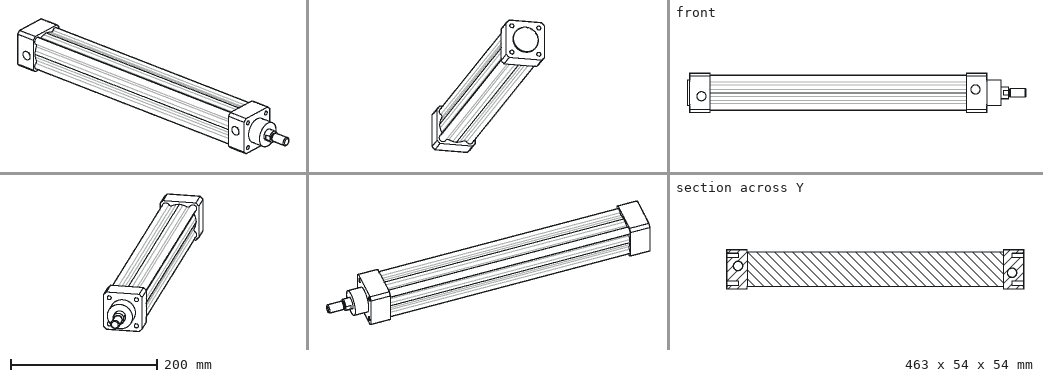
import cadquery as cq
import math


total_length = 463.0
rear_boss_length = 3.0
cap_length = 28.2
tube_length = 350.0
front_boss_length = 19.5
thread_length = 24.0
rear_cap_start = rear_boss_length
tube_start = rear_cap_start + cap_length
front_head_start = tube_start + tube_length
front_head_end = front_head_start + cap_length
front_boss_end = front_head_end + front_boss_length
rod_shoulder = total_length - thread_length

cap_size = 54.0
cap_chamfer = 4.0
boss_diameter = 35.0
screw_spacing = 38.0
screw_hole_diameter = 5.5
screw_hole_depth = 16.0
port_diameter = 12.5
port_depth = 12.0
port_rise = 4.5
rear_port_inset = 16.0
front_port_inset = 12.5
rear_port_x = rear_cap_start + rear_port_inset
front_port_x = front_head_start + front_port_inset

barrel_radius = 23.0
ridge_angle = 12.0
column_radius = 5.0
column_offset = screw_spacing / 2
valley_radius = 3.2

rod_diameter = 16.0
flat_width = 15.0
flat_clearance = 3.0
flat_start = front_boss_end + flat_clearance
thread_diameter = 12.0
neck_diameter = 10.0
neck_length = 1.5
thread_lead_in = 1.5
tip_chamfer = 1.5


def x_cylinder(start, length, diameter):
    """Round bar along X."""
    return cq.Workplane("YZ", origin=(start, 0, 0)).circle(diameter / 2).extrude(length)


def cap_block(start, port_x, port_z):
    """Square block with chamfered long edges and one port in its -Y side."""
    block = cq.Workplane("YZ", origin=(start, 0, 0)).rect(cap_size, cap_size).extrude(cap_length)
    block = block.edges("|X").chamfer(cap_chamfer)
    port = (
        cq.Workplane("XZ", origin=(port_x, -cap_size / 2, port_z))
        .circle(port_diameter / 2)
        .extrude(-port_depth)
    )
    return block.cut(port)


def screw_holes(start):
    """Four blind screw holes that run along +X from the given place."""
    return (
        cq.Workplane("YZ", origin=(start, 0, 0))
        .rect(screw_spacing, screw_spacing, forConstruction=True)
        .vertices()
        .circle(screw_hole_diameter / 2)
        .extrude(screw_hole_depth)
    )


def make_rear_cap():
    block = cap_block(rear_cap_start, rear_port_x, -port_rise)
    boss = x_cylinder(0, rear_boss_length, boss_diameter)
    return block.union(boss).cut(screw_holes(rear_cap_start))


def make_front_head():
    block = cap_block(front_head_start, front_port_x, port_rise)
    boss = x_cylinder(front_head_end, front_boss_length, boss_diameter)
    rod_bore = x_cylinder(front_head_start, front_boss_end - front_head_start, rod_diameter)
    return block.union(boss).cut(screw_holes(front_head_end - screw_hole_depth)).cut(rod_bore)


def polar(radius, degrees, center=(0, 0)):
    """Point at a radius and angle about a center."""
    angle = math.radians(degrees)
    return (center[0] + radius * math.cos(angle), center[1] + radius * math.sin(angle))


def make_tube():
    """Extruded profile: round barrel with a low ridge on each side and a round column at each corner."""
    column_distance = math.hypot(column_offset, column_offset)
    barrel_to_valley = barrel_radius + valley_radius
    column_to_valley = column_radius + valley_radius
    spread = math.degrees(math.acos(
        (barrel_to_valley**2 + column_distance**2 - column_to_valley**2)
        / (2 * barrel_to_valley * column_distance)
    ))
    valley_angle = 45 - spread
    valley_center = polar(barrel_to_valley, valley_angle)
    column_angle = math.degrees(math.atan2(valley_center[1] - column_offset, valley_center[0] - column_offset))
    ridge_radius = barrel_radius / math.cos(math.radians(ridge_angle))

    valley_middle = (valley_angle + column_angle) / 2 + 180

    profile = cq.Workplane("YZ", origin=(tube_start, 0, 0)).moveTo(ridge_radius, 0)
    for turn in (0, 90, 180, 270):
        column_center = polar(column_distance, turn + 45)
        first_valley = polar(barrel_to_valley, turn + valley_angle)
        second_valley = polar(barrel_to_valley, turn + 90 - valley_angle)
        profile = (
            profile.lineTo(*polar(barrel_radius, turn + ridge_angle))
            .threePointArc(
                polar(barrel_radius, turn + (ridge_angle + valley_angle) / 2),
                polar(barrel_radius, turn + valley_angle),
            )
            .threePointArc(
                polar(valley_radius, turn + valley_middle, first_valley),
                polar(column_radius, turn + column_angle, column_center),
            )
            .threePointArc(
                polar(column_radius, turn + 45, column_center),
                polar(column_radius, turn + 90 - column_angle, column_center),
            )
            .threePointArc(
                polar(valley_radius, turn + 90 - valley_middle, second_valley),
                polar(barrel_radius, turn + 90 - valley_angle),
            )
            .threePointArc(
                polar(barrel_radius, turn + 90 - (ridge_angle + valley_angle) / 2),
                polar(barrel_radius, turn + 90 - ridge_angle),
            )
            .lineTo(*polar(ridge_radius, turn + 90))
        )
    return profile.close().extrude(tube_length)


def make_rod():
    """Rod with two wrench flats, a narrow neck and a threaded end of plain cylindrical shape."""
    shank = x_cylinder(front_head_start, rod_shoulder - front_head_start, rod_diameter)
    flat_length = rod_shoulder - flat_start
    between_flats = cq.Workplane("XY").box(flat_length, flat_width, rod_diameter, centered=(False, True, True))
    outside_flats = x_cylinder(flat_start, flat_length, 2 * rod_diameter).cut(
        between_flats.translate((flat_start, 0, 0))
    )

    neck_radius = neck_diameter / 2
    thread_radius = thread_diameter / 2
    thread_start = rod_shoulder + neck_length
    threaded_end = (
        cq.Workplane("XY")
        .moveTo(rod_shoulder, 0)
        .lineTo(rod_shoulder, neck_radius)
        .lineTo(thread_start, neck_radius)
        .lineTo(thread_start + thread_lead_in, thread_radius)
        .lineTo(total_length - tip_chamfer, thread_radius)
        .lineTo(total_length, thread_radius - tip_chamfer)
        .lineTo(total_length, 0)
        .close()
        .revolve(360, (0, 0, 0), (1, 0, 0))
    )
    return shank.cut(outside_flats).union(threaded_end)


rear_cap = make_rear_cap()
tube = make_tube()
front_head = make_front_head()
rod = make_rod()

result = cq.Compound.makeCompound([rear_cap.val(), tube.val(), front_head.val(), rod.val()])